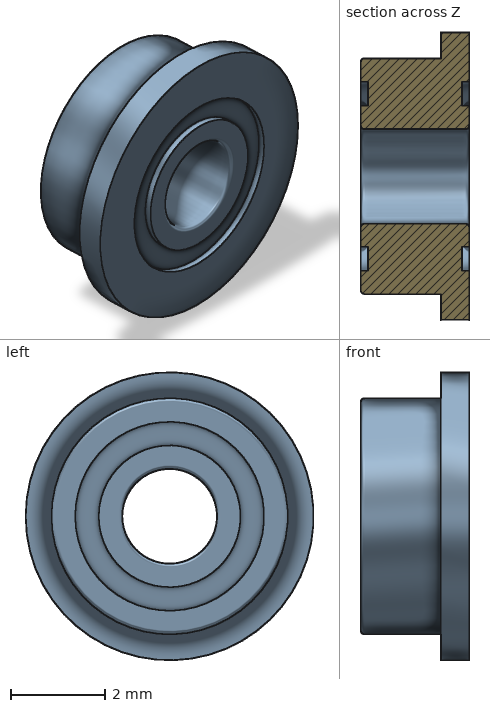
import cadquery as cq

bore_diameter = 2.0
inner_ring_diameter = 3.0
outer_ring_inner_diameter = 4.0
body_diameter = 5.0
flange_diameter = 6.1

width = 2.3
flange_thickness = 0.6
shield_recess_depth = 0.15
edge_radius = 0.08


def cylinder_along_x(diameter, start_x, length):
    """Solid cylinder about the X axis, beginning at start_x."""
    return cq.Workplane("YZ").workplane(offset=start_x).circle(diameter / 2).extrude(length)


def make_body():
    """Cylindrical body with a rounded rim at the end away from the flange."""
    body = cylinder_along_x(body_diameter, 0, width)
    return body.faces("<X").edges().fillet(edge_radius)


def make_flange():
    """Thin disc that ends flush with the +X end of the body."""
    return cylinder_along_x(flange_diameter, width - flange_thickness, flange_thickness)


def cut_bore(part):
    """Cut the through bore and round both of its mouths."""
    bored = part.cut(cylinder_along_x(bore_diameter, 0, width))
    bore_mouths = cq.selectors.RadiusNthSelector(0)
    return bored.faces("<X or >X").edges(bore_mouths).fillet(edge_radius)


def make_shield_recess(start_x):
    """Shallow annulus between the inner and outer rings."""
    outer = cylinder_along_x(outer_ring_inner_diameter, start_x, shield_recess_depth)
    return outer.cut(cylinder_along_x(inner_ring_diameter, start_x, shield_recess_depth))


blank = make_body().union(make_flange())
result = cut_bore(blank)

for recess_start in (0, width - shield_recess_depth):
    result = result.cut(make_shield_recess(recess_start))